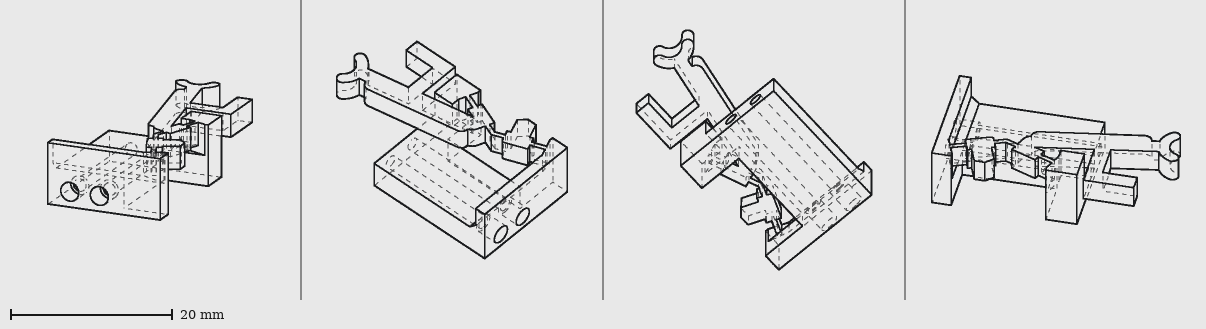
import cadquery as cq
import math

base_width = 15.25
base_depth = 18.45
base_height = 8.0
bed_width = 9.2
bed_height = 3.98
front_depth = 2.5
tower_depth = 3.98
tower_left = 11.15
anchor_start = 12.28
anchor_setback = 1.0
anchor_length = 2.5

hole_first_x = 3.0
hole_pitch = 4.0
hole_height = 2.0
hole_diameter = 1.62
counterbore_diameter = 2.43
counterbore_depth = 3.0

layer_thickness = 3.0
layer_bottom = base_height - layer_thickness

mirror_y = (front_depth + base_depth - tower_depth) / 2
bend_x = 10.87
link_angle = 21.5
link_span = 7.13
link_half_width = 1.0
link_start = 1.5
link_end = 5.0
flexure_half_width = 0.3
link_corner_round = 0.35

tab_start = 2.0
tab_end = 4.5
tab_shoulder = 3.2
tab_tip = 3.7

web_side = -2.5
web_top = 2.0
web_round_start = -1.38
web_round_middle = (1.602, -1.92)

arm_angle = 10.0
arm_foot = (11.3, 12.1)
arm_width = 3.0
arm_bottom = -0.5
arm_top = 14.47
arm_round = 1.0
neck_width = 2.0

cradle_radius = 2.35
cradle_center = 18.33
cradle_half_width = 0.75
cradle_half_angle = 60.7

hook_right = 16.08
hook_bottom = 19.45
hook_top = 25.85
hook_thickness = 2.0


def prism(points):
    """Mechanism-layer solid from a closed polygon."""
    sketch = cq.Workplane("XY").workplane(offset=layer_bottom)
    return sketch.polyline(points).close().extrude(layer_thickness)


def rectangle(x_min, x_max, y_min, y_max):
    return prism([(x_min, y_min), (x_max, y_min), (x_max, y_max), (x_min, y_max)])


def box(x_min, x_max, y_min, y_max, z_min, z_max):
    size = (x_max - x_min, y_max - y_min, z_max - z_min)
    return cq.Workplane("XY").box(*size, centered=False).translate((x_min, y_min, z_min))


def link_point(along, across):
    """Point of the rear link, measured from the bend along and across the link."""
    angle = math.radians(link_angle)
    x = bend_x + along * math.sin(angle) + across * math.cos(angle)
    y = mirror_y + along * math.cos(angle) - across * math.sin(angle)
    return (x, y)


def link_prism(points):
    return prism([link_point(*point) for point in points])


def mirrored(solid):
    """Swap a rear feature to the front half of the mechanism."""
    return solid.mirror("XZ", (0, mirror_y, 0))


def make_base():
    tower_front = base_depth - tower_depth
    base = box(0, bed_width, 0, base_depth, 0, bed_height)
    base = base.union(box(0, base_width, 0, front_depth, 0, bed_height))
    base = base.union(box(0, base_width, tower_front, base_depth, 0, bed_height))

    wall_top = front_depth - anchor_setback
    ramp_top = bed_height + anchor_setback
    wall_profile = [
        (0, bed_height),
        (front_depth, bed_height),
        (wall_top, ramp_top),
        (wall_top, base_height),
        (0, base_height),
    ]
    wall = cq.Workplane("YZ").polyline(wall_profile).close().extrude(base_width)
    base = base.union(wall)

    anchor_end = anchor_start + anchor_length
    tower_back = tower_front + anchor_setback
    tower_outline = [
        (tower_left, base_depth),
        (tower_left, tower_back),
        (anchor_start, tower_back),
        (anchor_end, tower_front),
        (base_width, tower_front),
        (base_width, base_depth),
    ]
    front_outline = [
        (anchor_start, 0),
        (anchor_start, wall_top),
        (anchor_end, front_depth),
        (base_width, front_depth),
        (base_width, 0),
    ]
    for outline in (tower_outline, front_outline):
        riser = cq.Workplane("XY").workplane(offset=bed_height).polyline(outline).close()
        base = base.union(riser.extrude(base_height - bed_height))
    return base


def cut_mounting_holes(body):
    for x in (hole_first_x, hole_first_x + hole_pitch):
        for diameter, depth in ((hole_diameter, base_depth), (counterbore_diameter, counterbore_depth)):
            sketch = cq.Workplane("XZ").center(x, hole_height).circle(diameter / 2)
            body = body.cut(sketch.extrude(-depth))
    return body


def make_flexure():
    flexure = link_prism([
        (-flexure_half_width, -flexure_half_width),
        (link_span, -flexure_half_width),
        (link_span, flexure_half_width),
        (-flexure_half_width, flexure_half_width),
    ])
    return flexure.intersect(rectangle(0, base_width, mirror_y, base_depth))


def make_link_body():
    return link_prism([
        (link_start, -link_half_width),
        (link_end, -link_half_width),
        (link_end, link_half_width),
        (link_start, link_half_width),
    ])


def make_rear_link():
    body = make_link_body()
    web = (
        cq.Workplane("XY")
        .workplane(offset=layer_bottom)
        .moveTo(*link_point(link_start, 0))
        .lineTo(*link_point(link_start, web_round_start))
        .threePointArc(link_point(*web_round_middle), link_point(web_top, web_side))
        .lineTo(*arm_foot)
        .close()
        .extrude(layer_thickness)
    )
    return body.union(web)


def make_front_link():
    body = make_link_body()
    corner = (*link_point(link_start, -link_half_width), layer_bottom + layer_thickness / 2)
    nearest_edge = cq.selectors.NearestToPointSelector(corner)
    body = body.edges("|Z").edges(nearest_edge).fillet(link_corner_round)
    tab = link_prism([
        (tab_start, 0),
        (tab_start, tab_shoulder),
        ((tab_start + tab_end) / 2, tab_tip),
        (tab_end, tab_shoulder),
        (tab_end, 0),
    ])
    return mirrored(body.union(tab))


def make_cradle():
    """Curved bar with round ends, centred on the neck, in the upright arm's frame."""
    center_x = -neck_width / 2

    def on_arc(radius, angle):
        x = center_x + radius * math.sin(math.radians(angle))
        y = cradle_center - radius * math.cos(math.radians(angle))
        return (x, y)

    inner = cradle_radius - cradle_half_width
    outer = cradle_radius + cradle_half_width
    tip = cradle_half_angle
    tangent = math.radians(tip)
    end_x, end_y = on_arc(cradle_radius, tip)
    far_x = end_x + cradle_half_width * math.cos(tangent)
    far_y = end_y + cradle_half_width * math.sin(tangent)
    return (
        cq.Workplane("XY")
        .workplane(offset=layer_bottom)
        .moveTo(*on_arc(outer, -tip))
        .threePointArc(on_arc(outer, 0), on_arc(outer, tip))
        .threePointArc((far_x, far_y), on_arc(inner, tip))
        .threePointArc(on_arc(inner, 0), on_arc(inner, -tip))
        .threePointArc((2 * center_x - far_x, far_y), on_arc(outer, -tip))
        .close()
        .extrude(layer_thickness)
    )


def make_arm():
    bar = rectangle(-arm_width, 0, arm_bottom, arm_top).edges("|Z and <X").fillet(arm_round)
    neck = rectangle(-neck_width, 0, 0, cradle_center - cradle_radius)
    arm = bar.union(neck).union(make_cradle())
    return arm.rotate((0, 0, 0), (0, 0, 1), arm_angle).translate((*arm_foot, 0))


def make_hook():
    arm_rise = hook_bottom - arm_foot[1]
    foot_left = arm_foot[0] - arm_rise * math.tan(math.radians(arm_angle)) - arm_width / 2
    foot = rectangle(foot_left, hook_right, hook_bottom, hook_bottom + hook_thickness)
    upright = rectangle(hook_right - hook_thickness, hook_right, hook_bottom, hook_top)
    return foot.union(upright)


result = cut_mounting_holes(make_base())
flexure = make_flexure()
mechanism = (flexure, mirrored(flexure), make_rear_link(), make_front_link(), make_arm(), make_hook())
for piece in mechanism:
    result = result.union(piece)